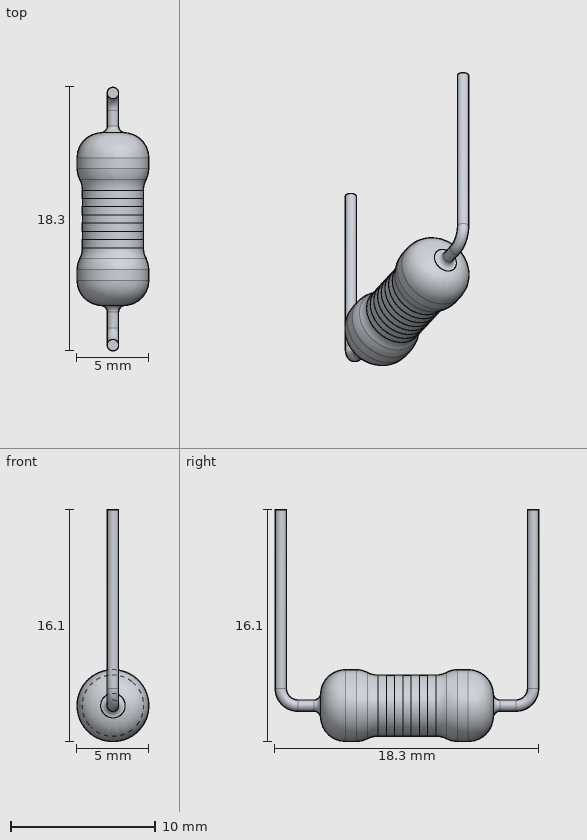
import cadquery as cq
import math

BODY_LENGTH = 12.0
CAP_DIAMETER = 5.0
WAIST_DIAMETER = 4.25
BAND_DIAMETER = 4.27
LEAD_DIAMETER = 0.8
LEAD_PITCH = 17.5
LEAD_TOP_Z = 13.6

CAP_ROUND_RADIUS = 1.75
CAP_STRAIGHT_LENGTH = 0.75
SHOULDER_LENGTH = 1.5
WAIST_SECTIONS = 7

LEAD_BEND_RADIUS = 1.2
LEAD_FILLET_RADIUS = 0.45

HALF_LENGTH = BODY_LENGTH / 2
CAP_RADIUS = CAP_DIAMETER / 2
WAIST_RADIUS = WAIST_DIAMETER / 2
LEAD_RADIUS = LEAD_DIAMETER / 2
END_FACE_RADIUS = CAP_RADIUS - CAP_ROUND_RADIUS
ROUND_START_Y = HALF_LENGTH - CAP_ROUND_RADIUS
SHOULDER_START_Y = ROUND_START_Y - CAP_STRAIGHT_LENGTH
WAIST_END_Y = SHOULDER_START_Y - SHOULDER_LENGTH
SECTION_LENGTH = 2 * WAIST_END_Y / WAIST_SECTIONS
SHOULDER_RISE = CAP_RADIUS - WAIST_RADIUS
SHOULDER_ARC_RADIUS = (SHOULDER_LENGTH**2 + SHOULDER_RISE**2) / (4 * SHOULDER_RISE)
LEAD_Y = LEAD_PITCH / 2


def make_cap():
    """Turned cap on the +Y end of the waist: S-shaped shoulder, short cylinder and rounded end."""
    shoulder_mid = (
        (WAIST_RADIUS + CAP_RADIUS) / 2,
        (WAIST_END_Y + SHOULDER_START_Y) / 2,
    )
    diagonal = math.sqrt(0.5)
    round_mid = (
        END_FACE_RADIUS + CAP_ROUND_RADIUS * diagonal,
        ROUND_START_Y + CAP_ROUND_RADIUS * diagonal,
    )
    profile = (
        cq.Workplane("ZY")
        .moveTo(0, WAIST_END_Y)
        .lineTo(WAIST_RADIUS, WAIST_END_Y)
        .radiusArc(shoulder_mid, SHOULDER_ARC_RADIUS)
        .radiusArc((CAP_RADIUS, SHOULDER_START_Y), -SHOULDER_ARC_RADIUS)
        .lineTo(CAP_RADIUS, ROUND_START_Y)
        .threePointArc(round_mid, (END_FACE_RADIUS, HALF_LENGTH))
        .lineTo(0, HALF_LENGTH)
        .close()
    )
    return profile.revolve(360, (0, 0, 0), (0, 1, 0))


def make_lead_fillet():
    """Concave collar that blends the +Y end of the body into its lead."""
    base_radius = LEAD_RADIUS + LEAD_FILLET_RADIUS
    tip_y = HALF_LENGTH + LEAD_FILLET_RADIUS
    root_y = HALF_LENGTH - LEAD_FILLET_RADIUS
    profile = (
        cq.Workplane("ZY")
        .moveTo(0, root_y)
        .lineTo(base_radius, root_y)
        .lineTo(base_radius, HALF_LENGTH)
        .radiusArc((LEAD_RADIUS, tip_y), LEAD_FILLET_RADIUS)
        .lineTo(0, tip_y)
        .close()
    )
    return profile.revolve(360, (0, 0, 0), (0, 1, 0))


def make_lead():
    """Round wire leaving the +Y end of the body and bending up to +Z."""
    bend_start_y = LEAD_Y - LEAD_BEND_RADIUS
    path = (
        cq.Workplane("YZ")
        .moveTo(HALF_LENGTH - LEAD_FILLET_RADIUS, 0)
        .lineTo(bend_start_y, 0)
        .tangentArcPoint((LEAD_Y, LEAD_BEND_RADIUS), relative=False)
        .lineTo(LEAD_Y, LEAD_TOP_Z)
    )
    start = cq.Workplane("XZ", origin=(0, HALF_LENGTH - LEAD_FILLET_RADIUS, 0))
    return start.circle(LEAD_RADIUS).sweep(path)


def make_waist_section(index):
    """One section of the waist, counted from -Y; every second one is a slightly raised colour band."""
    is_band = index % 2 == 0
    diameter = BAND_DIAMETER if is_band else WAIST_DIAMETER
    start_y = -WAIST_END_Y + index * SECTION_LENGTH
    return (
        cq.Workplane("XZ", origin=(0, start_y, 0))
        .circle(diameter / 2)
        .extrude(-SECTION_LENGTH)
    )


body_end = make_cap().union(make_lead_fillet()).union(make_lead())
result = make_waist_section(0)
for section_index in range(1, WAIST_SECTIONS):
    result = result.union(make_waist_section(section_index))
result = result.union(body_end).union(body_end.mirror("XZ"))